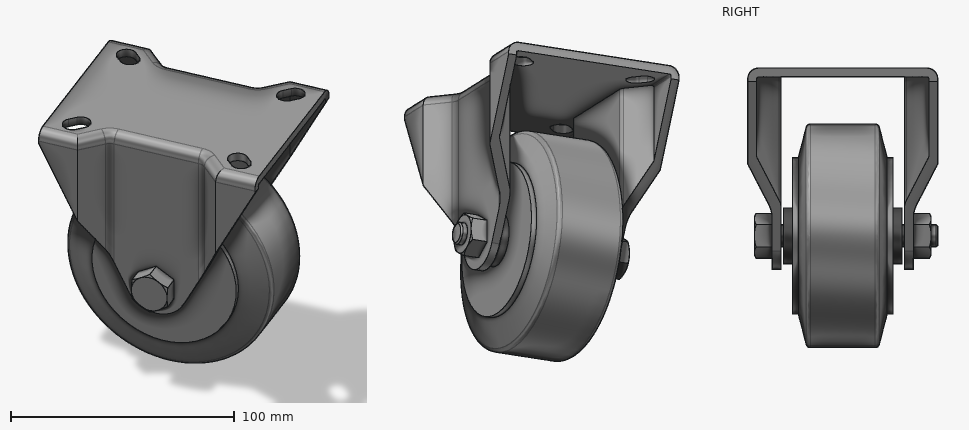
import cadquery as cq
import math

length = 105.0
width = 85.0
top_z = 125.0
thickness = 4.0
bend_radius = 5.0
arm_width = 63.0
ridge_x = 33.5
joggle_angle = 45.0
inner_bend_radius = bend_radius - thickness
valley_radius = 5.0
inner_valley_radius = 3.0
edge_height = 6.1
arm_tip_radius = 15.0

slot_x = 39.5
slot_y = 29.5
slot_width = 9.0
slot_angle = 45.0
slot_spacing = 4.0

wheel_radius = 50.0
axle_z = wheel_radius
tread_width = 32.0
tread_round = 2.0
shoulder_width = 39.8
hub_radius = 35.0
hub_width = 45.0
spacer_radius = 12.5
spacer_width = 53.0

axle_diameter = 10.0
axle_end_chamfer = 0.8
hex_flats = 17.4
hex_height = 8.0
hex_chamfer_angle = 30.0


def arm_envelope(inset, valley_round):
    """Block bounded by the bracket's surface moved inward by the inset, running down past the arm tips."""
    corner_shift = inset * math.tan(math.radians(joggle_angle / 2))
    outer_y = width / 2 - inset
    valley_y = arm_width / 2 - inset
    ridge = ridge_x + corner_shift
    valley_x = ridge - (outer_y - valley_y) / math.tan(math.radians(joggle_angle))
    end_x = length / 2
    half = [(valley_x, valley_y), (ridge, outer_y), (end_x, outer_y)]
    points = half + [(x, -y) for x, y in reversed(half)]
    points += [(-x, -y) for x, y in half] + [(-x, y) for x, y in reversed(half)]
    bottom_z = axle_z - arm_tip_radius
    block = (
        cq.Workplane("XY", origin=(0, 0, bottom_z))
        .polyline(points).close().extrude(top_z - inset - bottom_z)
    )
    slope_middle_x = (valley_x + ridge) / 2
    valley_box = cq.selectors.BoxSelector(
        (-slope_middle_x, -outer_y, bottom_z), (slope_middle_x, outer_y, top_z)
    )
    return block.edges("|Z").edges(valley_box).fillet(valley_round)


def arm_profile():
    """Side outline of the bracket: straight ends, tapering to a round tip about the axle."""
    corner_x = length / 2
    corner_z = top_z - edge_height
    rise = corner_z - axle_z
    tangent_angle = math.atan2(rise, corner_x) - math.acos(arm_tip_radius / math.hypot(corner_x, rise))
    tangent_x = arm_tip_radius * math.cos(tangent_angle)
    tangent_z = axle_z + arm_tip_radius * math.sin(tangent_angle)
    return (
        cq.Workplane("XZ")
        .moveTo(-corner_x, top_z)
        .lineTo(corner_x, top_z)
        .lineTo(corner_x, corner_z)
        .lineTo(tangent_x, tangent_z)
        .threePointArc((0, axle_z - arm_tip_radius), (-tangent_x, tangent_z))
        .lineTo(-corner_x, corner_z)
        .close()
        .extrude(width / 2, both=True)
    )


def mounting_slots():
    """Four cutters through the top plate, mirrored about both centre planes."""
    slots = cq.Workplane("XY")
    for side_x in (-1, 1):
        for side_y in (-1, 1):
            slot = (
                cq.Workplane("XY", origin=(side_x * slot_x, side_y * slot_y, top_z - thickness))
                .slot2D(slot_spacing + slot_width, slot_width, slot_angle * side_x * side_y)
                .extrude(thickness)
            )
            slots = slots.add(slot)
    return slots.combine()


def wheel():
    """Tread, cones, hub discs and spacers turned about the axle as one body."""
    half_outline = [
        (spacer_radius, spacer_width / 2),
        (spacer_radius, hub_width / 2),
        (hub_radius, hub_width / 2),
        (hub_radius, shoulder_width / 2),
        (wheel_radius, tread_width / 2),
    ]
    points = [(0, spacer_width / 2)] + half_outline
    points += [(r, -y) for r, y in reversed(points)]
    body = (
        cq.Workplane("XY")
        .polyline(points).close()
        .revolve(360, (0, 0, 0), (0, 1, 0))
    )
    tread_edges = cq.selectors.RadiusNthSelector(-1)
    body = body.edges("%CIRCLE").edges(tread_edges).fillet(tread_round)
    return body.translate((0, 0, axle_z))


def hexagon():
    """Hexagon standing on Z = 0, its upper corners turned off by a cone."""
    corner_radius = hex_flats / math.sqrt(3)
    flat_radius = hex_flats / 2
    drop = (corner_radius - flat_radius) * math.tan(math.radians(hex_chamfer_angle))
    prism = cq.Workplane("XY").polygon(6, 2 * corner_radius).extrude(hex_height)
    turned = (
        cq.Workplane("XZ")
        .polyline([
            (0, 0),
            (corner_radius, 0),
            (corner_radius, hex_height - drop),
            (flat_radius, hex_height),
            (0, hex_height),
        ])
        .close()
        .revolve(360, (0, 0, 0), (0, 1, 0))
    )
    return prism.intersect(turned).rotate((0, 0, 0), (0, 0, 1), 90)


def bolt():
    """Axle through both arms, with a hexagon head and a matching nut."""
    head = hexagon().rotate((0, 0, 0), (1, 0, 0), 90).translate((0, -arm_width / 2, axle_z))
    nut = head.mirror("XZ")
    shank = (
        cq.Workplane("XZ", origin=(0, -arm_width / 2, axle_z))
        .circle(axle_diameter / 2)
        .extrude(-(width + arm_width) / 2)
        .faces(">Y").chamfer(axle_end_chamfer)
    )
    return head.union(nut).union(shank)


outer_block = arm_envelope(0, valley_radius)
outer_block = outer_block.faces(">Z").edges("not(<X or >X)").fillet(bend_radius)
inner_block = arm_envelope(thickness, inner_valley_radius)
inner_block = inner_block.faces(">Z").edges("<Y or >Y").fillet(inner_bend_radius)
bracket = outer_block.cut(inner_block)
bracket = bracket.intersect(arm_profile()).cut(mounting_slots())
result = bracket.union(wheel()).union(bolt())